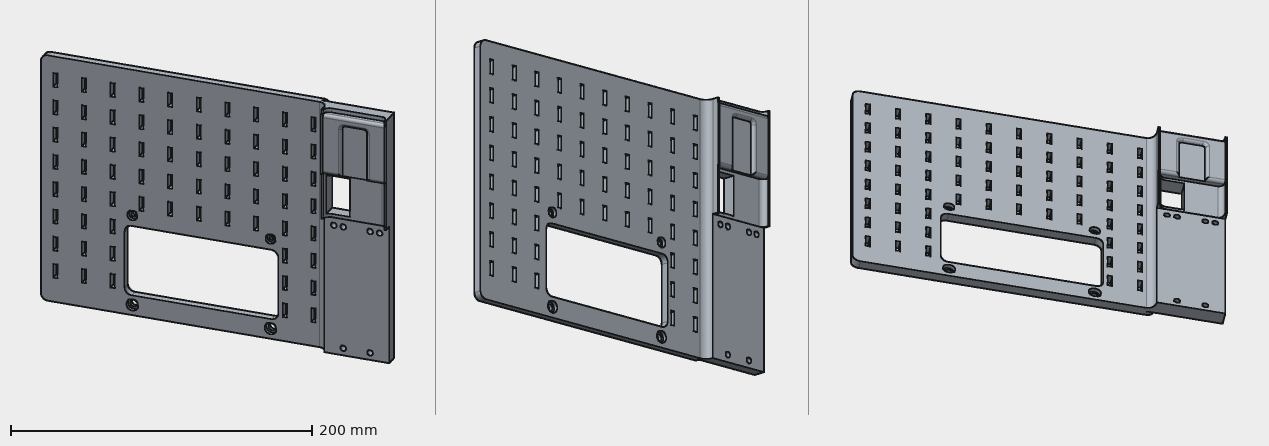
import cadquery as cq

length = 251.6
depth = 17.5
height = 180.2

plate_thickness = 6.0
plate_corner_radius = 5.0

rail_width = 46.5
rail_left = length - rail_width
rail_center = rail_left + rail_width / 2
rail_back = 3.0
rail_front = 12.0
blend_radius = rail_front - plate_thickness

slot_width = 3.0
slot_height = 10.0
slot_columns = 10
slot_rows = 8
slot_first_x = 10.3
slot_last_x = 195.0
slot_first_z = 22.6
slot_last_z = 162.8
blank_columns = range(3, 8)
blank_rows = range(0, 3)

opening_left = 60.0
opening_width = 110.0
opening_bottom = 14.5
opening_height = 50.8
opening_radius = 5.0

mount_xs = (65.5, 164.3)
mount_rows = ((7.5, 5.0, 8.3), (73.2, 4.0, 7.0))
counterbore_depth = plate_thickness / 2

screw_diameter = 4.0
screw_inner_offset = 9.5
screw_outer_offset = 16.4
screw_bottom_z = 5.3
screw_top_z = 94.4

holder_height = 80.0
holder_bottom = height - holder_height
wall_thickness = 1.3
left_wall_setback = 0.8
channel_radius = 4.0
floor_rise = 0.3
floor_front = rail_front + floor_rise
channel_left = rail_left + wall_thickness
channel_right = length - wall_thickness

cover_top_drop = 3.0
cover_top = height - cover_top_drop
cover_height = 44.0
cover_bottom = cover_top - cover_height
cover_setback = 0.3
cover_front = depth - cover_setback
cover_round = 2.3

recess_width = 17.5
recess_depth = 2.5
recess_top = 170.0
recess_corner_radius = 2.0

window_left = 207.3
window_right = 223.7
window_bottom = 102.7
window_top = 130.5


def block(left, right, front, back, bottom, top):
    """Box given by its X range, its depths in front of the back face, and its Z range."""
    return (
        cq.Workplane("XY")
        .box(right - left, front - back, top - bottom, centered=False)
        .translate((left, -front, bottom))
    )


def drill(points, diameter, start, end):
    """Cylinders along Y at (x, z) points, spanning two depths in front of the back face."""
    return (
        cq.Workplane("XZ", origin=(0, -start, 0))
        .pushPoints(points)
        .circle(diameter / 2)
        .extrude(end - start)
    )


def make_plate():
    plate = block(0, rail_left, plate_thickness, 0, 0, height)
    return plate.edges("|Y").fillet(plate_corner_radius)


def make_rail():
    """Rail profile with a concave blend from the plate's front face."""
    blend_left = rail_left - blend_radius
    blend_mid = blend_radius * 0.5 ** 0.5
    return (
        cq.Workplane("XY")
        .moveTo(blend_left, -rail_back)
        .lineTo(length, -rail_back)
        .lineTo(length, -rail_front)
        .lineTo(rail_left, -rail_front)
        .threePointArc(
            (blend_left + blend_mid, -rail_front + blend_mid),
            (blend_left, -plate_thickness),
        )
        .close()
        .extrude(height)
    )


def make_slots():
    x_pitch = (slot_last_x - slot_first_x) / (slot_columns - 1)
    z_pitch = (slot_last_z - slot_first_z) / (slot_rows - 1)
    centers = [
        (slot_first_x + column * x_pitch, slot_first_z + row * z_pitch)
        for column in range(slot_columns)
        for row in range(slot_rows)
        if not (column in blank_columns and row in blank_rows)
    ]
    return cq.Workplane("XZ").pushPoints(centers).rect(slot_width, slot_height).extrude(plate_thickness)


def make_opening():
    opening = block(
        opening_left, opening_left + opening_width,
        plate_thickness, 0,
        opening_bottom, opening_bottom + opening_height,
    )
    return opening.edges("|Y").fillet(opening_radius)


def make_holder():
    """Block hollowed by the channel, its left wall set back above and below the cover."""
    holder = block(rail_left, length, depth, rail_front, holder_bottom, height)
    channel = block(channel_left, channel_right, depth, floor_front, holder_bottom, height)
    channel = channel.edges("|Z and >Y").fillet(channel_radius)
    holder = holder.cut(channel)
    for bottom, top in ((holder_bottom, cover_bottom), (cover_top, height)):
        holder = holder.cut(block(rail_left, channel_left, depth, depth - left_wall_setback, bottom, top))
    return holder


def make_cover():
    """Cover with rounded top and bottom front edges and a round-rimmed thumb recess."""
    cover = block(channel_left, channel_right, cover_front, rail_front, cover_bottom, cover_top)
    recess = block(
        rail_center - recess_width / 2, rail_center + recess_width / 2,
        cover_front, cover_front - recess_depth,
        cover_bottom, recess_top,
    )
    recess = recess.edges("|Y and >Z").fillet(recess_corner_radius)
    cover = cover.cut(recess)
    return cover.faces("<Y").edges("not (<X or >X)").fillet(cover_round)


def make_mounts():
    """Stepped cutters for the mounting holes, counterbored from the front."""
    cutters = cq.Workplane("XZ")
    for mount_z, hole_diameter, counterbore_diameter in mount_rows:
        centers = [(x, mount_z) for x in mount_xs]
        counterbore_start = plate_thickness - counterbore_depth
        cutters = cutters.add(drill(centers, hole_diameter, 0, plate_thickness))
        cutters = cutters.add(drill(centers, counterbore_diameter, counterbore_start, plate_thickness))
    return cutters.combine()


def make_screw_holes():
    """One pair of holes at the rail's bottom and two pairs just below the holder."""
    centers = []
    for side in (-1, 1):
        inner_x = rail_center + side * screw_inner_offset
        outer_x = rail_center + side * screw_outer_offset
        centers += [(inner_x, screw_bottom_z), (inner_x, screw_top_z), (outer_x, screw_top_z)]
    return drill(centers, screw_diameter, rail_back, rail_front)


def make_window():
    return block(window_left, window_right, depth, 0, window_bottom, window_top)


body = make_plate().union(make_rail())
body = body.cut(make_slots()).cut(make_opening())
body = body.cut(make_mounts()).cut(make_screw_holes())
body = body.union(make_holder()).union(make_cover())
result = body.cut(make_window())